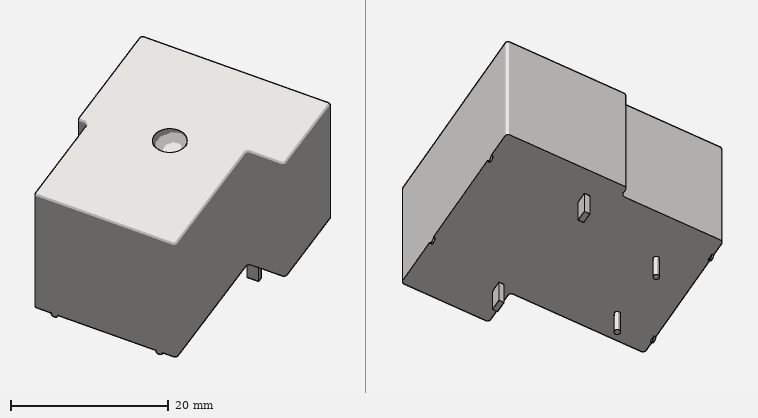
import cadquery as cq
import math

width = 27.4
depth = 32.52
case_height = 19.9
pin_length = 3.8
corner_radius = 0.5

front_left_x = 1.5
front_right_x = 22.0
left_shoulder_y = 14.9
right_shoulder_y = 19.67

dimple_x = 12.4
dimple_y = 16.68
dimple_radius = 2.2
dimple_floor_radius = 0.2
dimple_depth = dimple_radius - dimple_floor_radius

foot_radius = 0.5
foot_thickness = 0.25
foot_x_positions = (4.5, 19.5)

round_pin_diameter = 0.8
round_pin_y = 6.08
round_pin_x_positions = (8.13, 18.25)

left_flat_pin = (4.3, 18.8, 1.6, 0.8)
right_flat_pin = (22.05, 21.33, 1.7, 0.75)


def make_case():
    """Stepped block with rounded upright edges and a rounded top rim."""
    outline = [
        (front_left_x, 0),
        (front_right_x, 0),
        (front_right_x, right_shoulder_y),
        (width, right_shoulder_y),
        (width, depth),
        (0, depth),
        (0, left_shoulder_y),
        (front_left_x, left_shoulder_y),
    ]
    case = cq.Workplane("XY").polyline(outline).close().extrude(case_height)
    return case.edges("|Z").fillet(corner_radius).faces(">Z").edges().fillet(corner_radius)


def make_dimple():
    """Bowl revolved about its upright axis, with its rim level with the top face."""
    wall_middle = dimple_depth * math.sqrt(0.5)
    bowl = (
        cq.Workplane("XZ")
        .moveTo(0, -dimple_depth)
        .lineTo(dimple_floor_radius, -dimple_depth)
        .threePointArc((dimple_floor_radius + wall_middle, -wall_middle), (dimple_radius, 0))
        .lineTo(0, 0)
        .close()
        .revolve(360, (0, 0, 0), (0, 1, 0))
    )
    return bowl.translate((dimple_x, dimple_y, case_height))


def make_foot(center_x, near_y):
    """Disc whose lower half hangs below the base and whose upper half merges into the case."""
    disc = cq.Workplane("XZ").circle(foot_radius).extrude(-foot_thickness)
    return disc.translate((center_x, near_y, 0))


def make_round_pin(center_x):
    pin = cq.Workplane("XY").circle(round_pin_diameter / 2).extrude(-pin_length)
    return pin.translate((center_x, round_pin_y, 0))


def make_flat_pin(center_x, center_y, pin_width, pin_thickness):
    pin = cq.Workplane("XY").rect(pin_width, pin_thickness).extrude(-pin_length)
    return pin.translate((center_x, center_y, 0))


result = make_case().cut(make_dimple())

for foot_x in foot_x_positions:
    for foot_y in (0, depth - foot_thickness):
        result = result.union(make_foot(foot_x, foot_y))

for pin_x in round_pin_x_positions:
    result = result.union(make_round_pin(pin_x))

for flat_pin in (left_flat_pin, right_flat_pin):
    result = result.union(make_flat_pin(*flat_pin))